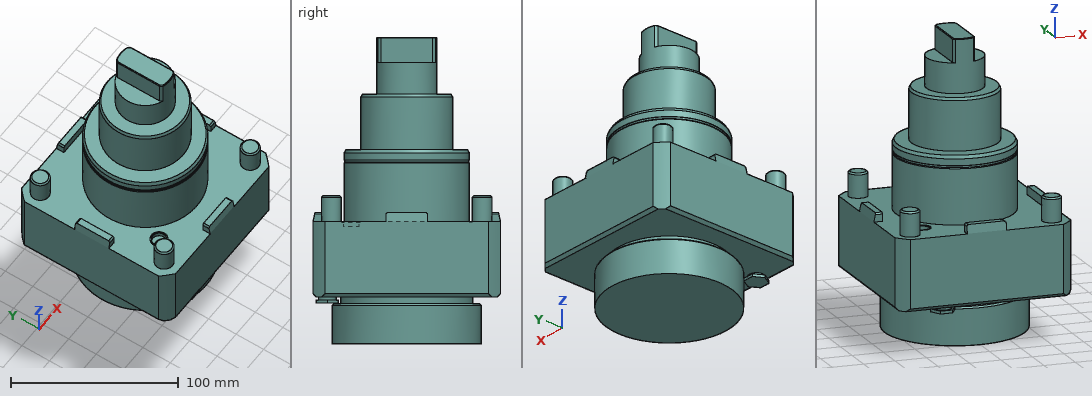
import cadquery as cq

flange_diameter = 89.0
flange_top = 24.0
flange_chamfer = 1.0
neck_diameter = 79.0

housing_width = 112.0
housing_bottom = 28.0
housing_height = 45.0
housing_top = housing_bottom + housing_height
corner_diameter = 148.4
housing_bottom_chamfer = 2.0

sleeve_diameter = 74.9
groove_diameter = 74.2
groove_bottom = 108.5
groove_top = 109.7
groove_bevel_height = 0.6
sleeve_top = 116.0
sleeve_chamfer_width = 1.15
sleeve_chamfer_height = 2.0
collar_diameter = 54.95
collar_top = 149.0
collar_chamfer_width = 1.0
collar_chamfer_height = 1.7

shaft_diameter = 36.0
shaft_top = 183.0
tongue_thickness = 14.0
tongue_height = 15.0
tongue_side_chamfer = 1.3
tongue_top_chamfer = 0.5

pin_diameter = 12.0
pin_offset = 45.0
pin_height = 15.5
pin_chamfer = 1.0

tab_length = 25.0
tab_depth = 5.5
tab_height = 5.5
tab_slope = 1.2
tab_end_chamfer = 1.0

recess_diameter = 10.7
recess_offset = -33.0
recess_step_depth = 0.5
recess_bore_diameter = 9.2
recess_depth = 3.0

screw_x = -25.0
screw_y = -47.4
screw_neck_diameter = 10.7
screw_head_corners = 15.4
screw_head_bottom = 24.4
screw_head_height = 1.8


def cylinder(diameter, bottom, top, x=0.0, y=0.0):
    """Upright cylinder between two heights."""
    return cq.Workplane("XY", origin=(x, y, bottom)).circle(diameter / 2).extrude(top - bottom)


def make_base():
    flange = cylinder(flange_diameter, 0, flange_top).faces(">Z").chamfer(flange_chamfer)
    return flange.union(cylinder(neck_diameter, flange_top, housing_bottom))


def make_housing():
    block = (
        cq.Workplane("XY", origin=(0, 0, housing_bottom))
        .rect(housing_width, housing_width)
        .extrude(housing_height)
        .faces("<Z")
        .chamfer(housing_bottom_chamfer)
    )
    corner_turning = cylinder(corner_diameter, housing_bottom, housing_top)
    return block.intersect(corner_turning)


def make_spindle():
    """Sleeve, groove and collar turned as one profile in the XZ plane."""
    sleeve_radius = sleeve_diameter / 2
    groove_radius = groove_diameter / 2
    collar_radius = collar_diameter / 2
    profile = [
        (0, housing_top),
        (sleeve_radius, housing_top),
        (sleeve_radius, groove_bottom - groove_bevel_height),
        (groove_radius, groove_bottom),
        (groove_radius, groove_top),
        (sleeve_radius, groove_top),
        (sleeve_radius, sleeve_top - sleeve_chamfer_height),
        (sleeve_radius - sleeve_chamfer_width, sleeve_top),
        (collar_radius, sleeve_top),
        (collar_radius, collar_top - collar_chamfer_height),
        (collar_radius - collar_chamfer_width, collar_top),
        (0, collar_top),
    ]
    return cq.Workplane("XZ").polyline(profile).close().revolve(360, (0, 0, 0), (0, 1, 0))


def make_shaft():
    tongue_bottom = shaft_top - tongue_height
    tongue = (
        cq.Workplane("XY", origin=(0, 0, tongue_bottom))
        .rect(tongue_thickness, shaft_diameter)
        .extrude(tongue_height)
        .intersect(cylinder(shaft_diameter, tongue_bottom, shaft_top))
        .edges("|Z")
        .chamfer(tongue_side_chamfer)
        .faces(">Z")
        .chamfer(tongue_top_chamfer)
    )
    return cylinder(shaft_diameter, collar_top, tongue_bottom).union(tongue)


def make_pin(x, y):
    pin = cylinder(pin_diameter, housing_top, housing_top + pin_height, x, y)
    return pin.faces(">Z").chamfer(pin_chamfer)


def make_tab():
    """Tab on the -Y edge: sloped outer face, bevelled upper ends."""
    outer = -housing_width / 2
    inner = outer + tab_depth
    tab_top = housing_top + tab_height
    side_profile = [
        (outer, housing_top),
        (inner, housing_top),
        (inner, tab_top),
        (outer + tab_slope, tab_top),
    ]
    tab = (
        cq.Workplane("YZ", origin=(-tab_length / 2, 0, 0))
        .polyline(side_profile)
        .close()
        .extrude(tab_length)
    )
    return tab.edges(">Z and (>X or <X)").chamfer(tab_end_chamfer)


def make_recess():
    """Blind bore with a shallow counterbore."""
    bore_bottom = housing_top - recess_depth
    step_bottom = housing_top - recess_step_depth
    bore = cylinder(recess_bore_diameter, bore_bottom, step_bottom, recess_offset, recess_offset)
    step = cylinder(recess_diameter, step_bottom, housing_top, recess_offset, recess_offset)
    return bore.union(step)


def make_screw():
    head_top = screw_head_bottom + screw_head_height
    head = (
        cq.Workplane("XY", origin=(screw_x, screw_y, screw_head_bottom))
        .polygon(6, screw_head_corners)
        .extrude(screw_head_height)
    )
    return head.union(cylinder(screw_neck_diameter, head_top, housing_bottom, screw_x, screw_y))


result = make_base().union(make_housing()).union(make_spindle()).union(make_shaft())
for x_side in (-1, 1):
    for y_side in (-1, 1):
        result = result.union(make_pin(x_side * pin_offset, y_side * pin_offset))
for quarter_turn in range(4):
    result = result.union(make_tab().rotate((0, 0, 0), (0, 0, 1), 90 * quarter_turn))
result = result.union(make_screw()).cut(make_recess())